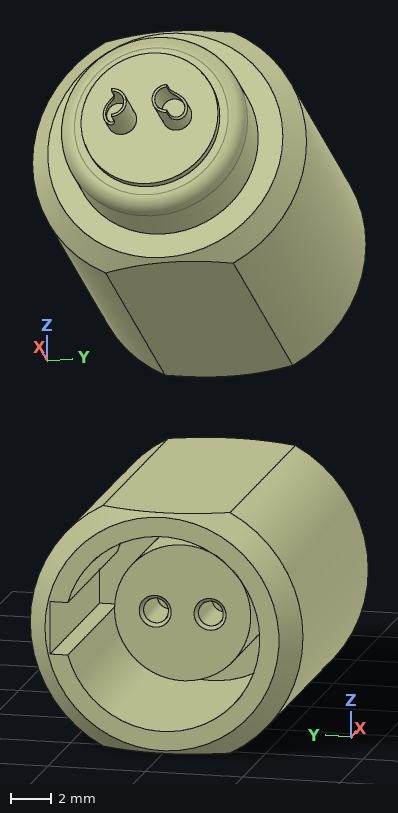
import cadquery as cq
import math

total_length = 22.7
shell_length = 16.4
shell_diameter = 14.0
across_flats = 12.4
shell_chamfer = 1.0

bore_radius = 5.02
bore_depth = 10.9
keyway_width = 2.7
keyway_reach = 5.75

insert_radius = 3.5
insert_front = 4.55
insert_back = 20.2

collar_radius = 4.75
collar_end = 19.77
collar_fillet = 0.82

contact_offset = 1.4
socket_radius = 0.64
socket_mouth_radius = 0.82
socket_depth = 3.18
cup_radius = 0.75
cup_bore_radius = 0.61
cup_bore_depth = 1.7
cup_relief_radius = 1.0
cup_half_length = 0.55


def rod(start, end, radius, y=0.0):
    """Solid cylinder parallel to X, between two X positions."""
    return cq.Workplane("YZ", origin=(start, y, 0)).circle(radius).extrude(end - start)


def make_shell():
    barrel = rod(0, shell_length, shell_diameter / 2).edges().chamfer(shell_chamfer)
    flats = cq.Workplane("XY").box(shell_length, shell_diameter, across_flats, centered=(False, True, True))
    keyway = cq.Workplane("XY").box(bore_depth, keyway_reach, keyway_width, centered=(False, False, True))
    return barrel.intersect(flats).cut(rod(0, bore_depth, bore_radius)).cut(keyway)


def make_collar():
    return rod(bore_depth, collar_end, collar_radius).faces(">X").edges().fillet(collar_fillet)


def make_socket(y):
    """Blind contact hole with a 45 degree countersunk mouth."""
    countersink = (
        cq.Workplane("YZ", origin=(insert_front, y, 0))
        .circle(socket_mouth_radius)
        .extrude(socket_mouth_radius - socket_radius, taper=45)
    )
    return rod(insert_front, insert_front + socket_depth, socket_radius, y).union(countersink)


def make_solder_cup():
    """Hollow contact tail on the +Y side, its outer half cut away near the tip with a concave run-out."""
    relief_start = total_length - cup_half_length
    arc_midpoint = cup_relief_radius * math.sqrt(0.5)
    relief_top = contact_offset + cup_relief_radius
    tail = rod(insert_back, total_length, cup_radius, contact_offset)
    cup_bore = rod(total_length - cup_bore_depth, total_length, cup_bore_radius, contact_offset)
    relief = (
        cq.Workplane("XY")
        .moveTo(total_length, contact_offset)
        .lineTo(relief_start, contact_offset)
        .threePointArc(
            (relief_start - arc_midpoint, relief_top - arc_midpoint),
            (relief_start - cup_relief_radius, relief_top),
        )
        .lineTo(total_length, relief_top)
        .close()
        .extrude(cup_radius, both=True)
    )
    return tail.cut(cup_bore).cut(relief)


solder_cup = make_solder_cup()
result = make_shell().union(make_collar()).union(rod(insert_front, insert_back, insert_radius))
result = result.cut(make_socket(contact_offset)).cut(make_socket(-contact_offset))
result = result.union(solder_cup).union(solder_cup.mirror("XZ"))